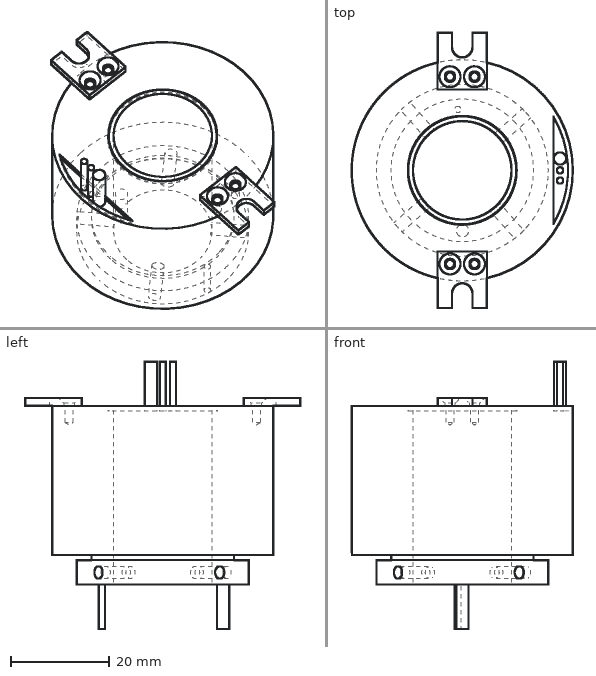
import cadquery as cq
import math

housing_height = 30.35
neck_height = 1.0
collar_height = 5.0
wire_length = 9.0
neck_bottom = -neck_height
collar_bottom = neck_bottom - collar_height

housing_diameter = 45.0
neck_diameter = 29.0
collar_diameter = 35.0
bore_diameter = 20.0

rim_width = 1.0
cover_radius = housing_diameter / 2 - rim_width
recess_flat_x = 18.55
recess_depth = 1.0
rotor_diameter = 21.95
rotor_gap = 0.1
rotor_gap_depth = 1.0

tab_span = 56.0
tab_length = 11.55
tab_width = 10.0
tab_thickness = 1.6
slot_width = 4.1
slot_center_y = 25.05
screw_spacing = 5.0
screw_y = 19.05
countersink_diameter = 4.25
countersink_angle = 90
clearance_diameter = 2.1
tapped_diameter = 1.7
tapped_depth = 3.35
drill_point_angle = 118

set_screw_count = 4
set_screw_diameter = 2.5
set_screw_first_angle = 41.6

cable_diameter = 2.5
lead_diameter = 1.3
top_wire_x = 19.9
top_wires = [
    (cable_diameter, top_wire_x, 2.4),
    (lead_diameter, top_wire_x, 0),
    (lead_diameter, top_wire_x, -2.1),
]
bottom_wires = [
    (cable_diameter, 0.05, -12.25),
    (lead_diameter, -0.9, 12.4),
]


def cylinder(diameter, bottom, height, x=0, y=0):
    """Upright cylinder standing on the level `bottom`."""
    return cq.Workplane("XY", origin=(x, y, bottom)).circle(diameter / 2).extrude(height)


def make_body():
    """Housing, neck and collar with the through bore."""
    body = cylinder(housing_diameter, 0, housing_height)
    body = body.union(cylinder(neck_diameter, neck_bottom, neck_height))
    body = body.union(cylinder(collar_diameter, collar_bottom, collar_height))
    total_height = housing_height - collar_bottom
    return body.cut(cylinder(bore_diameter, collar_bottom, total_height))


def make_wire_recess():
    """Segment of the cover circle beyond the flat, sunk into the housing top."""
    half_chord = math.sqrt(cover_radius**2 - recess_flat_x**2)
    return (
        cq.Workplane("XY", origin=(0, 0, housing_height - recess_depth))
        .moveTo(recess_flat_x, -half_chord)
        .threePointArc((cover_radius, 0), (recess_flat_x, half_chord))
        .close()
        .extrude(recess_depth)
    )


def make_rotor_gap():
    """Narrow ring groove around the rotor sleeve in the housing top."""
    return (
        cq.Workplane("XY", origin=(0, 0, housing_height - rotor_gap_depth))
        .circle(rotor_diameter / 2 + rotor_gap)
        .circle(rotor_diameter / 2)
        .extrude(rotor_gap_depth)
    )


def make_set_screw_holes():
    """Radial holes from the collar rim into the bore, spaced evenly."""
    center_z = (neck_bottom + collar_bottom) / 2
    hole = (
        cq.Workplane("YZ", origin=(0, 0, center_z))
        .circle(set_screw_diameter / 2)
        .extrude(collar_diameter / 2)
    )
    holes = cq.Workplane("XY")
    for index in range(set_screw_count):
        angle = set_screw_first_angle + index * 360 / set_screw_count
        holes = holes.union(hole.rotate((0, 0, 0), (0, 0, 1), angle))
    return holes


def make_tab():
    """Slotted tab on the +Y side, resting on the housing top."""
    tab_end = tab_span / 2
    tab = (
        cq.Workplane("XY", origin=(0, tab_end - tab_length / 2, housing_height))
        .rect(tab_width, tab_length)
        .extrude(tab_thickness)
    )
    slot_end = cylinder(slot_width, housing_height, tab_thickness, y=slot_center_y)
    slot_length = tab_end - slot_center_y
    slot_sides = (
        cq.Workplane("XY", origin=(0, slot_center_y + slot_length / 2, housing_height))
        .rect(slot_width, slot_length)
        .extrude(tab_thickness)
    )
    return tab.cut(slot_end).cut(slot_sides)


def make_screw_hole(x, y):
    """Countersunk clearance hole in the tab above a drilled hole in the housing."""
    countersink_radius = countersink_diameter / 2
    clearance_radius = clearance_diameter / 2
    tapped_radius = tapped_diameter / 2
    countersink_slope = math.tan(math.radians(countersink_angle / 2))
    countersink_depth = (countersink_radius - clearance_radius) / countersink_slope
    point_depth = tapped_radius / math.tan(math.radians(drill_point_angle / 2))
    profile = (
        cq.Workplane("XZ")
        .moveTo(0, tab_thickness)
        .lineTo(countersink_radius, tab_thickness)
        .lineTo(clearance_radius, tab_thickness - countersink_depth)
        .lineTo(clearance_radius, 0)
        .lineTo(tapped_radius, 0)
        .lineTo(tapped_radius, -tapped_depth)
        .lineTo(0, -tapped_depth - point_depth)
        .close()
    )
    return profile.revolve(360, (0, 0, 0), (0, 1, 0)).translate((x, y, housing_height))


result = make_body()
result = result.cut(make_wire_recess()).cut(make_rotor_gap()).cut(make_set_screw_holes())

tab = make_tab()
result = result.union(tab).union(tab.mirror("XZ"))
for x in (-screw_spacing / 2, screw_spacing / 2):
    for y in (-screw_y, screw_y):
        result = result.cut(make_screw_hole(x, y))

recess_floor = housing_height - recess_depth
for diameter, x, y in top_wires:
    result = result.union(cylinder(diameter, recess_floor, recess_depth + wire_length, x, y))
for diameter, x, y in bottom_wires:
    result = result.union(cylinder(diameter, collar_bottom - wire_length, wire_length, x, y))